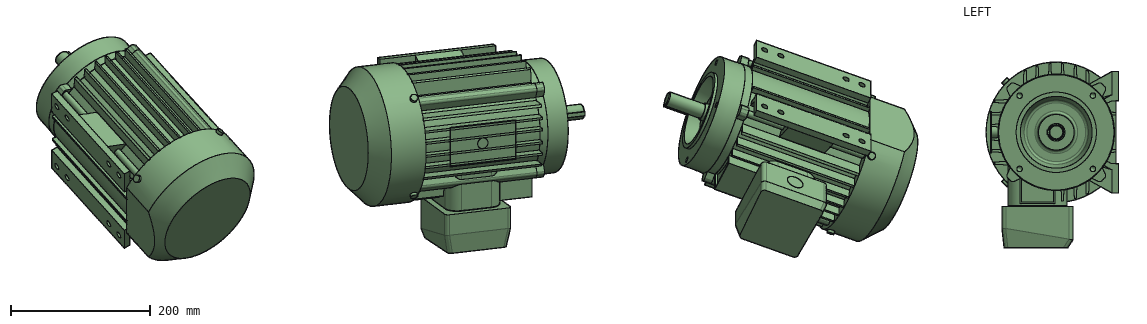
import cadquery as cq
import math


spigot_front = 50.0
flange_front = 54.3
flange_back = 86.0
frame_front = 97.7
frame_back = 280.3
cover_cone_start = 333.8
motor_length = 359.3

shaft_radius = 10.8
shaft_chamfer = 1.5
collar_radius = 12.5
collar_front = 55.5
key_start = 0.7
key_end = 38.0
key_width = 6.0
key_top = 13.0
key_depth = 3.5

spigot_radius = 57.5
flange_front_radius = 82.5
flange_back_radius = 83.0
shield_ring_radius = 83.5
recess_mouth_radius = 51.5
recess_floor_radius = 46.0
recess_floor = 73.0
recess_fillet = 4.0
hub_root_radius = 26.5
hub_face_radius = 25.5
hub_face = 63.0
flange_hole_offset = 52.5
flange_hole_radius = 4.0
flange_hole_depth = 18.0
drill_point_depth = 2.0

lug_tip_distance = 95.2
lug_tip_half_width = 6.0
lug_corner_radius = 4.3
lug_root_distance = 72.0
lug_root_half_width = 14.5
tie_rod_radius = 5.0
tie_rod_distance = 88.7

core_radius = 82.5
fin_tip_radius = 98.5
fin_root_distance = 66.5
fin_root_thickness = 5.5
fin_tip_thickness = 2.5
vertical_fin_offsets = (9.0, 27.3, 44.5)
front_fin_offsets = (26.5,)
back_fin_offsets = (9.7, 26.5, 44.2)
back_fin_limit = 92.7
flat_side = -85.5

pad_start = 139.5
pad_end = 240.5
pad_half_height = 29.5
pad_back = 93.8
pad_boss_radius = 8.0

foot_start = 101.5
foot_end = 279.5
foot_bottom = -89.0
foot_top = -79.5
foot_inner_z = 45.0
foot_outer_z = 87.0
leg_inner_edge = (-70.0, 40.2)
leg_outer_edge = (-67.2, 47.0)
leg_outer_start_z = 53.5
gusset_start = 155.0
gusset_end = 225.3
gusset_shoulder = (-47.5, 69.0)
gusset_root = (-43.0, 43.0)
foot_hole_stations = (114.0, 139.0, 241.0, 266.0)
foot_hole_z = 70.0
foot_hole_radius = 4.5

box_length_x = 101.5
box_length_y = 102.0
box_centre_x = 190.0
box_centre_y = 27.0
box_top = -106.0
box_bottom = -165.3
box_corner_radius = 5.7
lid_line_back = -136.5
lid_line_front = -153.8
lid_side_slope = 0.2
lid_front_inset = 7.5
lid_back_inset = 3.2
knockout_radius = 12.2
knockout_z = -130.0
knockout_depth = 0.5
neck_length_x = 83.5
neck_length_y = 84.8
neck_corner_radius = 18.7
neck_edge_chamfer = 1.5
neck_height = 72.0
wireway_width = 50.3
wireway_bottom = -102.0
wireway_top = -61.0
wireway_wall = 2.5
wireway_recess_depth = 3.5

cover_radius = 100.5
cover_end_radius = 75.0
screw_station = 288.0
screw_radius = 5.5
screw_head_distance = 105.0
screw_length = 14.5

diagonal_angles = (45, 135, 225, 315)
back_lug_angles = (45, 315)
mirror_signs = (1, -1)


def rod(start, end, radius, y=0.0, z=0.0):
    """Cylinder parallel to the shaft axis."""
    return cq.Workplane("YZ", origin=(start, y, z)).circle(radius).extrude(end - start)


def block(x_range, y_range, z_range):
    """Box between two limits on each axis."""
    size = [high - low for low, high in (x_range, y_range, z_range)]
    corner = (x_range[0], y_range[0], z_range[0])
    return cq.Workplane("XY").box(*size, centered=False).translate(corner)


def prism(start, end, points):
    """Polygon of (y, z) points extruded along the shaft axis."""
    return cq.Workplane("YZ", origin=(start, 0, 0)).polyline(points).close().extrude(end - start)


def turn(shape, angle):
    """Shape turned about the shaft axis."""
    return shape.rotate((0, 0, 0), (1, 0, 0), angle)


def tie_lug(start, end, angle):
    """Rounded lug that widens towards the axis."""
    profile = [
        (lug_root_distance, -lug_root_half_width),
        (lug_tip_distance, -lug_tip_half_width),
        (lug_tip_distance, lug_tip_half_width),
        (lug_root_distance, lug_root_half_width),
    ]
    lug = prism(start, end, profile).edges("|X and >Y").fillet(lug_corner_radius)
    return turn(lug, angle)


def make_shaft():
    shaft = rod(0, frame_front, shaft_radius).faces("<X").chamfer(shaft_chamfer)
    collar = rod(collar_front, frame_front, collar_radius)
    key = block(
        (key_start, key_end),
        (shaft_radius - key_depth, key_top),
        (-key_width / 2, key_width / 2),
    )
    return shaft.union(collar).union(key)


def make_end_shield():
    fillet_start = recess_floor - recess_fillet
    fillet_middle_offset = recess_fillet * (1 - math.sqrt(0.5))
    profile = (
        cq.Workplane("XY")
        .moveTo(frame_front, collar_radius)
        .lineTo(hub_face, collar_radius)
        .lineTo(hub_face, hub_face_radius)
        .lineTo(fillet_start, hub_root_radius)
        .threePointArc(
            (recess_floor - fillet_middle_offset, hub_root_radius + fillet_middle_offset),
            (recess_floor, hub_root_radius + recess_fillet),
        )
        .lineTo(recess_floor, recess_floor_radius - recess_fillet)
        .threePointArc(
            (recess_floor - fillet_middle_offset, recess_floor_radius - fillet_middle_offset),
            (fillet_start, recess_floor_radius),
        )
        .lineTo(spigot_front, recess_mouth_radius)
        .lineTo(spigot_front, spigot_radius)
        .lineTo(flange_front, spigot_radius)
        .lineTo(flange_front, flange_front_radius)
        .lineTo(flange_back, flange_back_radius)
        .lineTo(flange_back, shield_ring_radius)
        .lineTo(frame_front, shield_ring_radius)
        .close()
    )
    shield = profile.revolve(360, (0, 0, 0), (1, 0, 0))
    for angle in diagonal_angles:
        shield = shield.union(tie_lug(flange_back, frame_front, angle))
    for y_sign in mirror_signs:
        for z_sign in mirror_signs:
            shield = shield.cut(flange_hole(y_sign * flange_hole_offset, z_sign * flange_hole_offset))
    return shield


def flange_hole(y, z):
    """Blind drilled hole with a conical bottom."""
    hole_end = flange_front + flange_hole_depth
    straight = rod(flange_front, hole_end, flange_hole_radius, y, z)
    point = cq.Solid.makeCone(
        flange_hole_radius, 0, drill_point_depth, pnt=cq.Vector(hole_end, y, z), dir=cq.Vector(1, 0, 0)
    )
    return straight.union(cq.Workplane(point))


def fin(offset, angle):
    """Tapered fin beside the radial direction at the given angle."""
    profile = [
        (fin_root_distance, offset - fin_root_thickness / 2),
        (fin_tip_radius, offset - fin_tip_thickness / 2),
        (fin_tip_radius, offset + fin_tip_thickness / 2),
        (fin_root_distance, offset + fin_root_thickness / 2),
    ]
    return turn(prism(frame_front, frame_back, profile), angle)


def make_barrel():
    """Round core with fins trimmed to a round envelope that is flat on the foot and pad sides."""
    barrel = rod(frame_front, frame_back, core_radius)
    fin_rows = (
        (0, back_fin_offsets),
        (90, vertical_fin_offsets),
        (180, front_fin_offsets),
        (270, vertical_fin_offsets),
    )
    for angle, offsets in fin_rows:
        for offset in offsets:
            for sign in mirror_signs:
                barrel = barrel.union(fin(sign * offset, angle))
    slab = block(
        (frame_front, frame_back),
        (flat_side, back_fin_limit),
        (-fin_tip_radius, fin_tip_radius),
    )
    return barrel.intersect(rod(frame_front, frame_back, fin_tip_radius).intersect(slab))


def make_back_pad():
    pad = block(
        (pad_start, pad_end),
        (back_fin_limit, pad_back),
        (-pad_half_height, pad_half_height),
    )
    boss = (
        cq.Workplane("XZ", origin=((pad_start + pad_end) / 2, pad_back, 0))
        .circle(pad_boss_radius)
        .extrude(pad_back)
    )
    return pad.union(boss)


def make_foot():
    """Upper foot: a drilled plate on a full-length leg, with a gusset in the middle."""
    plate_and_leg = prism(
        foot_start,
        foot_end,
        [
            (foot_bottom, foot_inner_z),
            (foot_bottom, foot_outer_z),
            (foot_top, foot_outer_z),
            (foot_top, leg_outer_start_z),
            leg_outer_edge,
            leg_inner_edge,
            (foot_top, foot_inner_z),
        ],
    )
    gusset = prism(
        gusset_start,
        gusset_end,
        [(foot_top, foot_outer_z), gusset_shoulder, gusset_root, (foot_top, leg_outer_start_z)],
    )
    holes = (
        cq.Workplane("XZ", origin=(0, foot_top, 0))
        .pushPoints([(x, foot_hole_z) for x in foot_hole_stations])
        .circle(foot_hole_radius)
        .extrude(foot_top - foot_bottom)
    )
    return plate_and_leg.cut(holes).union(gusset)


def make_neck():
    """Rounded stub under the barrel that carries the terminal box."""
    return (
        cq.Workplane("XY", origin=(box_centre_x, box_centre_y, box_top))
        .rect(neck_length_x, neck_length_y)
        .extrude(neck_height)
        .edges("|Z")
        .fillet(neck_corner_radius)
        .faces("<Z")
        .chamfer(neck_edge_chamfer)
    )


def wireway_section(start, end, wall):
    """Box along the wireway, smaller than its outside by the wall thickness."""
    half_width = wireway_width / 2 - wall
    return block(
        (start, end),
        (box_centre_y - half_width, box_centre_y + half_width),
        (wireway_bottom + wall, wireway_top),
    )


def add_wireway(frame):
    """Covered channel from the front of the frame to the neck, with a recessed front face."""
    channel = wireway_section(frame_front, box_centre_x, 0)
    recess = wireway_section(frame_front, frame_front + wireway_recess_depth, wireway_wall)
    recess = recess.cut(rod(frame_front, frame_back, core_radius))
    return frame.union(channel).cut(recess)


def make_frame():
    frame = make_barrel().union(make_back_pad())
    for angle in back_lug_angles:
        frame = frame.union(tie_lug(frame_front, frame_back, angle))
    foot = make_foot()
    tie_rod_offset = tie_rod_distance * math.sqrt(0.5)
    for sign in mirror_signs:
        tie_rod = rod(frame_front, frame_back, tie_rod_radius, -tie_rod_offset, sign * tie_rod_offset)
        frame = frame.union(foot if sign > 0 else foot.mirror("XY")).union(tie_rod)
    return add_wireway(frame.union(make_neck()))


def is_steep(edge):
    """True for an edge closer to vertical than to horizontal."""
    run = edge.endPoint() - edge.startPoint()
    return abs(run.z) > math.hypot(run.x, run.y)


def lid_taper():
    """Tapered block with rounded corners that trims the box below its lid line."""
    height = box_top - box_bottom
    front_y = box_centre_y - box_length_y / 2
    back_y = box_centre_y + box_length_y / 2

    front_flare = lid_front_inset * (box_top - lid_line_front) / (lid_line_front - box_bottom)
    back_flare = lid_back_inset * (box_top - lid_line_back) / (lid_line_back - box_bottom)
    ends = prism(
        box_centre_x - box_length_x,
        box_centre_x + box_length_x,
        [
            (front_y + lid_front_inset, box_bottom),
            (front_y - front_flare, box_top),
            (back_y + back_flare, box_top),
            (back_y - lid_back_inset, box_bottom),
        ],
    )

    wide = box_length_x / 2 + lid_side_slope * height
    narrow = box_length_x / 2 - lid_side_slope * height
    lid_fall_angle = math.degrees(math.atan2(lid_line_back - lid_line_front, box_length_y))
    sides = (
        cq.Workplane("XZ")
        .polyline([(-wide, height), (wide, height), (narrow, -height), (-narrow, -height)])
        .close()
        .extrude(box_length_y, both=True)
        .rotate((0, 0, 0), (1, 0, 0), lid_fall_angle)
        .translate((box_centre_x, box_centre_y, (lid_line_back + lid_line_front) / 2))
    )
    taper = ends.intersect(sides)
    corners = [edge for edge in taper.edges().vals() if is_steep(edge)]
    return taper.newObject(corners).fillet(box_corner_radius)


def make_terminal_box():
    box = (
        cq.Workplane("XY", origin=(box_centre_x, box_centre_y, box_bottom))
        .rect(box_length_x, box_length_y)
        .extrude(box_top - box_bottom)
        .edges("|Z")
        .fillet(box_corner_radius)
        .intersect(lid_taper())
    )
    knockout_floor = box_centre_y - box_length_y / 2 + knockout_depth
    knockout = (
        cq.Workplane("XZ", origin=(box_centre_x, knockout_floor, knockout_z))
        .circle(knockout_radius)
        .extrude(knockout_depth)
    )
    return box.cut(knockout)


def make_fan_cover():
    profile = (
        cq.Workplane("XY")
        .moveTo(frame_back, 0)
        .lineTo(frame_back, cover_radius)
        .lineTo(cover_cone_start, cover_radius)
        .lineTo(motor_length, cover_end_radius)
        .lineTo(motor_length, 0)
        .close()
    )
    cover = profile.revolve(360, (0, 0, 0), (1, 0, 0))
    cover = cover.intersect(
        block((frame_back, motor_length), (flat_side, cover_radius), (-cover_radius, cover_radius))
    )
    screw = (
        cq.Workplane("XY", origin=(screw_station, 0, screw_head_distance - screw_length))
        .circle(screw_radius)
        .extrude(screw_length)
    )
    for angle in diagonal_angles:
        cover = cover.union(turn(screw, angle))
    return cover


shaft = make_shaft()
end_shield = make_end_shield()
frame = make_frame()
terminal_box = make_terminal_box()
fan_cover = make_fan_cover()

result = cq.Compound.makeCompound(
    [
        shaft.solids().val(),
        end_shield.solids().val(),
        frame.solids().val(),
        terminal_box.solids().val(),
        fan_cover.solids().val(),
    ]
)